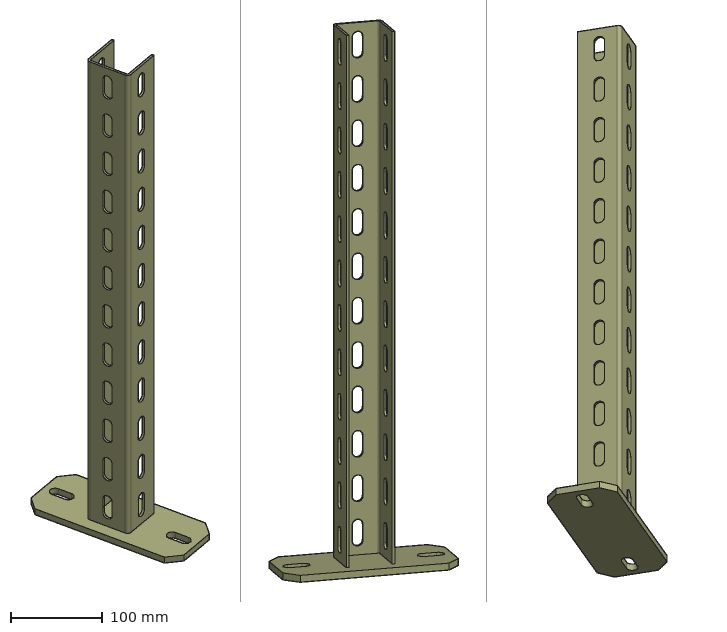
import cadquery as cq

total_height = 608.0

plate_length = 200.0
plate_width = 80.0
plate_thickness = 8.0
plate_corner_chamfer = 15.0
plate_slot_offset = 76.5

post_height = total_height - plate_thickness
post_width = 55.5
post_depth = 50.0
sheet_thickness = 3.0
bend_outer_radius = 4.5
bend_inner_radius = bend_outer_radius - sheet_thickness

slot_length = 30.0
plate_slot_width = 13.0
post_slot_width = 12.0
post_slot_count = 12
post_slot_pitch = post_height / post_slot_count


def make_base_plate():
    """Flat plate with cut-off corners and a lengthwise slot near each end."""
    plate = (
        cq.Workplane("XY")
        .rect(plate_length, plate_width)
        .extrude(plate_thickness)
        .edges("|Z")
        .chamfer(plate_corner_chamfer)
    )
    slots = (
        cq.Workplane("XY")
        .pushPoints([(-plate_slot_offset, 0), (plate_slot_offset, 0)])
        .slot2D(slot_length, plate_slot_width)
        .extrude(plate_thickness)
    )
    return plate.cut(slots)


def make_channel():
    """Plain U-shaped channel: web on the -Y side, flanges on the -X and +X sides."""
    outer = (
        cq.Workplane("XY", origin=(0, 0, plate_thickness))
        .rect(post_width, post_depth)
        .extrude(post_height)
        .edges("|Z and <Y")
        .fillet(bend_outer_radius)
    )
    hollow = (
        cq.Workplane("XY", origin=(0, sheet_thickness, plate_thickness))
        .rect(post_width - 2 * sheet_thickness, post_depth)
        .extrude(post_height)
        .edges("|Z and <Y")
        .fillet(bend_inner_radius)
    )
    return outer.cut(hollow)


def make_slot_row(plane, cut_length):
    """Column of upright slot cutters, symmetric about the given vertical plane."""
    centres = [
        (0, plate_thickness + (index + 0.5) * post_slot_pitch)
        for index in range(post_slot_count)
    ]
    return (
        cq.Workplane(plane)
        .pushPoints(centres)
        .slot2D(slot_length, post_slot_width, 90)
        .extrude(cut_length / 2, both=True)
    )


def make_post():
    """Channel with a column of slots through the web and through both flanges."""
    web_slots = make_slot_row("XZ", post_depth)
    flange_slots = make_slot_row("YZ", post_width)
    return make_channel().cut(web_slots).cut(flange_slots)


base_plate = make_base_plate()
post = make_post()

result = cq.Compound.makeCompound([base_plate.val(), post.val()])